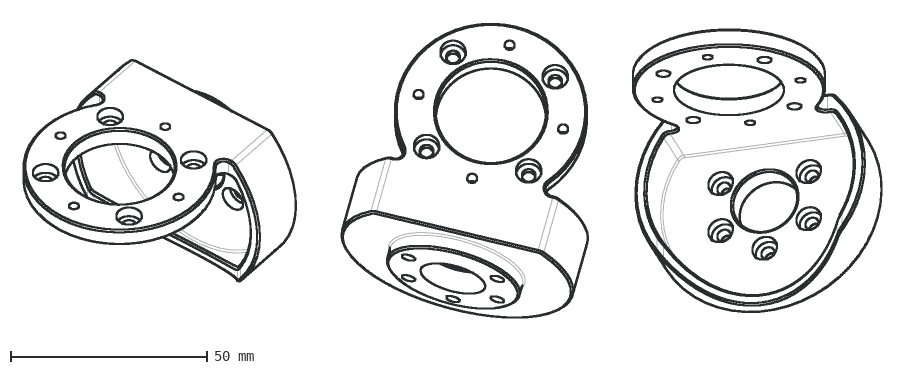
import cadquery as cq
import math


ring_radius = 24.5
ring_bore_radius = 14.0
plate_thickness = 5.0
plate_top_z = 21.0
plate_bottom_z = plate_top_z - plate_thickness
ring_hole_circle_radius = 19.0
pin_hole_radius = 1.25
ring_head_depth = 3.0

cup_radius = 30.5
cup_depth = 16.0
wall_thickness = 3.0
floor_thickness = 2.5
cup_front_y = 18.5
cup_back_y = cup_front_y + cup_depth
pocket_floor_y = cup_back_y - floor_thickness
pocket_radius = cup_radius - wall_thickness
clearance_radius = 30.0

boss_radius = 17.5
boss_height = 4.0
boss_back_y = cup_back_y + boss_height
boss_bore_radius = 8.5
cup_hole_circle_radius = 13.5
cup_hole_angles = (30, 150, 210, 270, 330)
cup_head_depth = 3.0

screw_hole_radius = 1.75
screw_head_radius = 3.25

corner_radius = 2.0
edge_chamfer = 0.5
inner_fillet = 0.5

parting_z = -14.0
body_reach = 100.0
pick_margin = 0.1


def cylinder_along_y(radius, y_start, y_end, x=0.0, z=0.0):
    """Cylinder parallel to Y between two Y positions."""
    start = cq.Vector(x, y_start, z)
    return cq.Workplane(cq.Solid.makeCylinder(radius, y_end - y_start, start, cq.Vector(0, 1, 0)))


def cylinder_along_z(radius, z_start, z_end, x=0.0, y=0.0):
    """Cylinder parallel to Z between two Z positions."""
    start = cq.Vector(x, y, z_start)
    return cq.Workplane(cq.Solid.makeCylinder(radius, z_end - z_start, start, cq.Vector(0, 0, 1)))


def bore_mouth(bore_radius, mouth, direction):
    """Cone that bevels the mouth of a bore, narrowing in the given direction."""
    mouth_radius = bore_radius + edge_chamfer
    cone = cq.Solid.makeCone(
        mouth_radius, bore_radius, edge_chamfer, cq.Vector(*mouth), cq.Vector(*direction)
    )
    return cq.Workplane(cone)


def polar_point(radius, angle):
    """Point on a circle about the origin, with the angle in degrees."""
    return radius * math.cos(math.radians(angle)), radius * math.sin(math.radians(angle))


def blend_centre(circle_radius, centre_y):
    """Centre, on the +X side, of a corner round touching a circle about the origin from outside."""
    return math.sqrt((circle_radius + corner_radius) ** 2 - centre_y**2), centre_y


def flat_topped_disc(radius, flat_z, y_start, y_end):
    """Disc along Y cut off by a flat at flat_z, with the two corners at the flat rounded."""
    flat_half_width = math.sqrt(radius**2 - flat_z**2)
    return (
        cq.Workplane("XZ", origin=(0, y_start, 0))
        .moveTo(-flat_half_width, flat_z)
        .threePointArc((0, -radius), (flat_half_width, flat_z))
        .close()
        .extrude(y_start - y_end)
        .edges("|Y")
        .fillet(corner_radius)
    )


def make_cup():
    """Flat-topped cup with a bevelled back edge and a filleted pocket floor."""
    outside = flat_topped_disc(cup_radius, plate_top_z, cup_front_y, cup_back_y)
    outside = outside.faces(">Y").edges().chamfer(edge_chamfer)
    pocket = flat_topped_disc(pocket_radius, plate_bottom_z, cup_front_y, pocket_floor_y)
    pocket = pocket.faces(">Y").edges().fillet(inner_fillet)
    return outside.cut(pocket)


def make_ring_plate():
    """Ring disc and the neck that joins it to the cup, with a concave round on each side."""
    round_x, round_y = blend_centre(ring_radius, cup_front_y - corner_radius)
    neck_outline = [
        (0, 0),
        (round_x, round_y),
        (round_x, cup_front_y),
        (-round_x, cup_front_y),
        (-round_x, round_y),
    ]
    neck = cq.Workplane("XY", origin=(0, 0, plate_bottom_z)).polyline(neck_outline).close()
    neck = neck.extrude(plate_thickness)
    for x in (-round_x, round_x):
        neck = neck.cut(cylinder_along_z(corner_radius, plate_bottom_z, plate_top_z, x, round_y))
    return cylinder_along_z(ring_radius, plate_bottom_z, plate_top_z).union(neck)


def make_clearance():
    """Upright cylinder about the ring axis, flared by a round on each side where it leaves the cup front."""
    round_x, round_y = blend_centre(clearance_radius, cup_front_y + corner_radius)
    tangent_angle = math.degrees(math.atan2(round_y, round_x))
    tangent_x, tangent_y = polar_point(clearance_radius, tangent_angle)
    middle_angle = (270 + 180 + tangent_angle) / 2
    offset_x, offset_y = polar_point(corner_radius, middle_angle)
    middle_x = round_x + offset_x
    middle_y = round_y + offset_y
    return (
        cq.Workplane("XY")
        .moveTo(-round_x, cup_front_y)
        .threePointArc((-middle_x, middle_y), (-tangent_x, tangent_y))
        .threePointArc((0, clearance_radius), (tangent_x, tangent_y))
        .threePointArc((middle_x, middle_y), (round_x, cup_front_y))
        .close()
        .extrude(-cup_radius)
    )


def half_space(z_start, z_end):
    """Block wider than the body between two levels."""
    block = cq.Workplane("XY", origin=(0, 0, z_start)).rect(body_reach, body_reach)
    return block.extrude(z_end - z_start)


def bevel_mouth(body):
    """Bevel the ring rims, which run on round the notches into the edges of the cup mouth."""
    upper = body.intersect(half_space(parting_z, body_reach))
    for z in (plate_bottom_z, plate_top_z):
        ring_rim = cq.selectors.BoxSelector(
            (-ring_radius, -ring_radius, z - pick_margin), (ring_radius, pick_margin, z + pick_margin)
        )
        upper = upper.edges(ring_rim).chamfer(edge_chamfer)

    lower = body.intersect(half_space(-body_reach, parting_z))
    lip_edges = cq.selectors.BoxSelector(
        (-pick_margin, cup_front_y, -cup_radius), (pick_margin, clearance_radius, parting_z)
    )
    lower = lower.edges(lip_edges).chamfer(edge_chamfer)
    return upper.union(lower)


def add_boss(body):
    """Round boss on the back of the cup, bevelled at its end and filleted at its root."""
    boss = cylinder_along_y(boss_radius, cup_back_y, boss_back_y)
    boss = boss.faces(">Y").edges().chamfer(edge_chamfer)
    boss_root = cq.selectors.BoxSelector(
        (-boss_radius, cup_back_y - pick_margin, -boss_radius),
        (boss_radius, cup_back_y + pick_margin, boss_radius),
    )
    root_edges = cq.selectors.RadiusNthSelector(0)
    return body.union(boss).edges(boss_root).edges(root_edges).fillet(inner_fillet)


def cut_bores(body):
    """Main bores of ring and boss, with bevelled mouths at the plate top and the pocket floor."""
    body = body.cut(cylinder_along_z(ring_bore_radius, plate_bottom_z, plate_top_z))
    body = body.cut(bore_mouth(ring_bore_radius, (0, 0, plate_top_z), (0, 0, -1)))
    body = body.cut(cylinder_along_y(boss_bore_radius, pocket_floor_y, boss_back_y))
    return body.cut(bore_mouth(boss_bore_radius, (0, pocket_floor_y, 0), (0, 1, 0)))


def cut_ring_holes(body):
    """Four pin holes, and four counterbored screw holes midway between them."""
    head_bottom_z = plate_top_z - ring_head_depth
    for pin_angle in (0, 90, 180, 270):
        x, y = polar_point(ring_hole_circle_radius, pin_angle)
        body = body.cut(cylinder_along_z(pin_hole_radius, plate_bottom_z, plate_top_z, x, y))
        x, y = polar_point(ring_hole_circle_radius, pin_angle + 45)
        body = body.cut(cylinder_along_z(screw_hole_radius, plate_bottom_z, plate_top_z, x, y))
        body = body.cut(cylinder_along_z(screw_head_radius, head_bottom_z, plate_top_z, x, y))
    return body


def cut_cup_holes(body):
    """Screw holes through floor and boss, counterbored from the pocket."""
    head_bottom_y = pocket_floor_y + cup_head_depth
    for angle in cup_hole_angles:
        x, z = polar_point(cup_hole_circle_radius, angle)
        body = body.cut(cylinder_along_y(screw_hole_radius, pocket_floor_y, boss_back_y, x, z))
        body = body.cut(cylinder_along_y(screw_head_radius, pocket_floor_y, head_bottom_y, x, z))
    return body


body = make_cup().union(make_ring_plate()).cut(make_clearance())
body = bevel_mouth(body)
body = add_boss(body)
body = cut_bores(body)
body = cut_ring_holes(body)
result = cut_cup_holes(body)